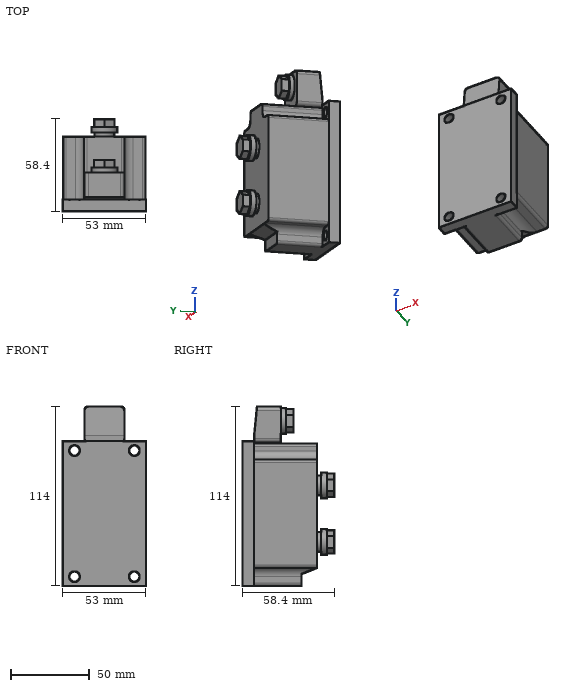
import cadquery as cq

plate_width = 53.0
plate_height = 92.0
plate_thickness = 7.4
hole_diameter = 6.5
hole_spacing_x = 38.0
hole_spacing_z = 80.0

housing_width = 52.4
housing_top = 90.5
housing_back = 47.4
neck_width = 25.8
relief_radius = 5.4
upper_relief_z = 85.8
lower_relief_z = 6.2
edge_radius = 1.9

step_back = 37.6
ramp_end_z = 7.6

terminal_width = 25.5
terminal_bottom = 91.0
terminal_top = 114.0
terminal_back = 24.5
terminal_top_front = 9.2
terminal_slope_z = 95.4
terminal_radius = 2.6

head_across_corners = 15.0
head_height = 4.9
washer_diameter = 16.5
washer_thickness = 3.6
terminal_washer_thickness = 3.2
collar_diameter = 12.8
collar_height = 2.5
housing_screw_heights = (28.0, 64.0)
terminal_screw_z = 104.9


def plane_at(y):
    """XZ workplane at the given Y; negative extrusions on it run towards +Y."""
    return cq.Workplane("XZ", origin=(0, y, 0))


def make_plate():
    return (
        plane_at(0)
        .center(0, plate_height / 2)
        .rect(plate_width, plate_height)
        .extrude(-plate_thickness)
        .faces("<Y")
        .workplane(centerOption="CenterOfBoundBox")
        .rect(hole_spacing_x, hole_spacing_z, forConstruction=True)
        .vertices()
        .hole(hole_diameter)
    )


def make_housing():
    side_x = housing_width / 2
    neck_x = neck_width / 2
    relief_x = neck_x + relief_radius
    r = edge_radius
    upper_shoulder_z = upper_relief_z - relief_radius
    lower_shoulder_z = lower_relief_z + relief_radius

    half_outline = (
        plane_at(plate_thickness)
        .lineTo(neck_x - r, 0)
        .radiusArc((neck_x, r), -r)
        .lineTo(neck_x, lower_relief_z)
        .radiusArc((relief_x, lower_shoulder_z), relief_radius)
        .lineTo(side_x - r, lower_shoulder_z)
        .radiusArc((side_x, lower_shoulder_z + r), -r)
        .lineTo(side_x, upper_shoulder_z - r)
        .radiusArc((side_x - r, upper_shoulder_z), -r)
        .lineTo(relief_x, upper_shoulder_z)
        .radiusArc((neck_x, upper_relief_z), relief_radius)
        .lineTo(neck_x, housing_top - r)
        .radiusArc((neck_x - r, housing_top), -r)
        .lineTo(0, housing_top)
    )
    housing = half_outline.mirrorY().extrude(plate_thickness - housing_back)

    step = (
        cq.Workplane("YZ")
        .moveTo(step_back, 0)
        .lineTo(step_back, ramp_end_z)
        .lineTo(housing_back, lower_shoulder_z)
        .lineTo(housing_back, 0)
        .close()
        .extrude(side_x, both=True)
    )
    return housing.cut(step)


def make_terminal():
    return (
        cq.Workplane("YZ")
        .moveTo(plate_thickness, terminal_bottom)
        .lineTo(plate_thickness, terminal_slope_z)
        .lineTo(terminal_top_front, terminal_top)
        .lineTo(terminal_back, terminal_top)
        .lineTo(terminal_back, terminal_bottom)
        .close()
        .extrude(terminal_width / 2, both=True)
        .edges("|Y")
        .fillet(terminal_radius)
    )


def make_disc(z, y, diameter, thickness):
    return plane_at(y).center(0, z).circle(diameter / 2).extrude(-thickness)


def make_screw(z, y, washer_height):
    """Washer resting on the plane at Y = y with a hexagon head, corners up and down, behind it."""
    washer = make_disc(z, y, washer_diameter, washer_height)
    head = (
        plane_at(y + washer_height)
        .center(0, z)
        .transformed(rotate=(0, 0, 90))
        .polygon(6, head_across_corners)
        .extrude(-head_height)
    )
    return washer.union(head)


result = make_plate().union(make_housing()).union(make_terminal())
result = result.union(make_screw(terminal_screw_z, terminal_back, terminal_washer_thickness))
for screw_z in housing_screw_heights:
    result = result.union(make_disc(screw_z, housing_back, collar_diameter, collar_height))
    result = result.union(make_screw(screw_z, housing_back + collar_height, washer_thickness))